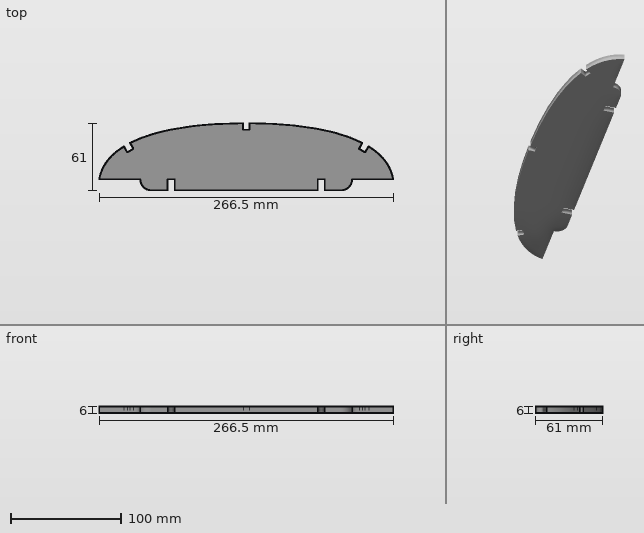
import cadquery as cq

thickness = 6.0
half_length = 133.25
height = 61.0

tab_depth = 10.0
tab_half_width = 96.0
tab_corner_radius = tab_depth

crown_pull = 67.0
tip_pull_x = 126.7
tip_pull_y = 47.8

slot_width = 6.3
slot_position = 68.0
top_notch_width = 5.7
top_notch_depth = 6.0
side_notch_width = 6.3
side_notch_floor = (104.9, 36.2)
side_notch_tilt = 31.0
cutter_length = 20.0


def make_plate():
    """Plate with the curved crown on top and the rounded tab below."""
    tab_corner_x = tab_half_width - tab_corner_radius
    crown_center = (0, height)
    right_tip = (half_length, tab_depth)
    left_tip = (-half_length, tab_depth)
    corner_mid_offset = tab_corner_radius * 0.5 ** 0.5
    corner_mid_x = tab_corner_x + corner_mid_offset
    corner_mid_y = tab_depth - corner_mid_offset
    return (
        cq.Workplane("XY")
        .moveTo(-tab_corner_x, 0)
        .lineTo(tab_corner_x, 0)
        .threePointArc((corner_mid_x, corner_mid_y), (tab_half_width, tab_depth))
        .lineTo(*right_tip)
        .bezier([right_tip, (tip_pull_x, tip_pull_y), (crown_pull, height), crown_center])
        .bezier([crown_center, (-crown_pull, height), (-tip_pull_x, tip_pull_y), left_tip])
        .lineTo(-tab_half_width, tab_depth)
        .threePointArc((-corner_mid_x, corner_mid_y), (-tab_corner_x, 0))
        .close()
        .extrude(thickness)
    )


def notch_cutter(floor_center, width, length, tilt=0.0):
    """Bar rising from the notch floor; a positive tilt leans it towards +X."""
    return (
        cq.Workplane("XY")
        .rect(width, length)
        .extrude(thickness)
        .translate((0, length / 2, 0))
        .rotate((0, 0, 0), (0, 0, 1), -tilt)
        .translate((floor_center[0], floor_center[1], 0))
    )


def cut_notches(plate):
    """Central notch, two lower slots and two tilted side notches."""
    top_floor = (0, height - top_notch_depth)
    plate = plate.cut(notch_cutter(top_floor, top_notch_width, cutter_length))
    floor_x, floor_y = side_notch_floor
    for side in (-1, 1):
        plate = plate.cut(notch_cutter((side * slot_position, 0), slot_width, tab_depth))
        side_floor = (side * floor_x, floor_y)
        tilt = side * side_notch_tilt
        plate = plate.cut(notch_cutter(side_floor, side_notch_width, cutter_length, tilt))
    return plate


result = cut_notches(make_plate())